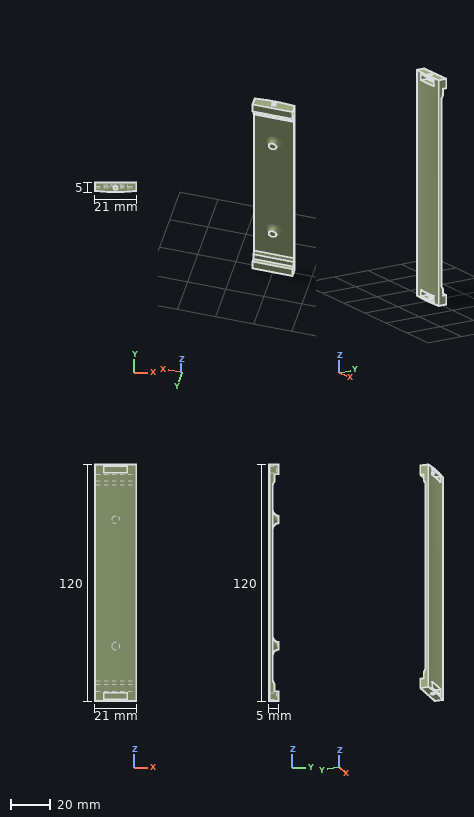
import cadquery as cq

length = 120.0
width = 21.0
depth = 5.0
crown = 0.6

plate_back = 2.2
ledge_back = 3.1
block_length = 5.0
ledge_end = 8.4
ramp_end = 10.2

pocket_width = 12.0
pocket_height = 3.2
pocket_wall = 1.0
pocket_depth = 3.8

hole_diameter = 2.0
hole_y = 2.2

stud_diameter = 4.0
stud_flare = depth - plate_back
stud_z = 32.0

half_length = length / 2
half_width = width / 2


def crowned_bar():
    """Full-depth bar with a shallow arc as its front face."""
    return (
        cq.Workplane("XY")
        .workplane(offset=-half_length)
        .moveTo(-half_width, crown)
        .threePointArc((0, 0), (half_width, crown))
        .lineTo(half_width, depth)
        .lineTo(-half_width, depth)
        .close()
        .extrude(length)
    )


def back_recess():
    """Space removed behind the plate, leaving a ledge and an end block at each end."""
    block_z = half_length - block_length
    ledge_z = half_length - ledge_end
    ramp_z = half_length - ramp_end
    return (
        cq.Workplane("YZ")
        .moveTo(depth, block_z)
        .lineTo(ledge_back, block_z)
        .lineTo(ledge_back, ledge_z)
        .lineTo(plate_back, ramp_z)
        .lineTo(plate_back, -ramp_z)
        .lineTo(ledge_back, -ledge_z)
        .lineTo(ledge_back, -block_z)
        .lineTo(depth, -block_z)
        .close()
        .extrude(half_width, both=True)
    )


def end_pocket(side):
    """Pocket at one end; side is +1 for the top and -1 for the bottom."""
    center_z = side * (half_length - pocket_wall - pocket_height / 2)
    return (
        cq.Workplane("XY")
        .box(pocket_width, pocket_depth, pocket_height)
        .translate((0, pocket_depth / 2, center_z))
    )


def end_hole(side):
    """Round hole from one end face into its pocket."""
    hole_length = pocket_wall + pocket_height / 2
    return (
        cq.Workplane("XY")
        .center(0, hole_y)
        .circle(hole_diameter / 2)
        .extrude(-side * hole_length)
        .translate((0, 0, side * half_length))
    )


def stud(z):
    """Round stud whose foot flares into the plate with a concave quarter arc."""
    radius = stud_diameter / 2
    foot_radius = radius + stud_flare
    mid_offset = stud_flare * (1 - 0.5 ** 0.5)
    return (
        cq.Workplane("XY")
        .moveTo(0, crown)
        .lineTo(foot_radius, crown)
        .lineTo(foot_radius, plate_back)
        .threePointArc(
            (radius + mid_offset, plate_back + mid_offset),
            (radius, depth),
        )
        .lineTo(0, depth)
        .close()
        .revolve(360, (0, 0, 0), (0, 1, 0))
        .translate((0, 0, z))
    )


result = crowned_bar().cut(back_recess())
for side in (1, -1):
    result = result.cut(end_pocket(side)).cut(end_hole(side))
    result = result.union(stud(side * stud_z))